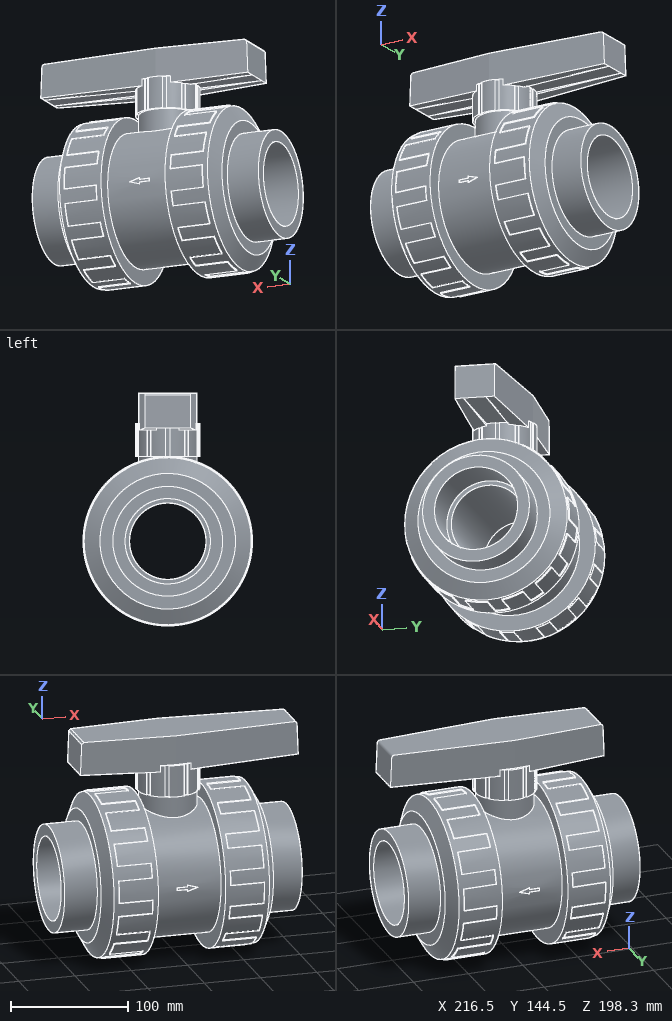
import cadquery as cq
import math


overall_length = 216.5
overall_height = 198.3

pipe_half_length = 105.7
pipe_radius = 46.8
socket_radius = 36.4
socket_depth = 45.5
bore_radius = 32.5
body_radius = 58.5

nut_outer_x = 76.6
nut_inner_x = 29.9
nut_diameter = 144.5
nut_radius = nut_diameter / 2
nut_rim_width = 4.8
nut_floor_radius = 71.2
cone_length = 7.5
cone_small_radius = 57.8
lug_end_x = 64.5
lug_count = 14
lug_angle = 15.6
first_lug_angle = 5.2

collar_radius = 25.1
hub_radius = 27.5
hub_bottom_z = 72.0
hub_top_z = 100.2
groove_count = 10
groove_width = 3.5
groove_depth = 0.9

handle_left_x = -83.4
handle_right_x = overall_length - pipe_half_length
handle_top_z = overall_height - nut_radius
handle_end_bottom_z = 96.5
handle_middle_bottom_z = 94.2
handle_middle_half_width = 25.0
handle_left_half_width = 19.3
handle_right_half_width = 17.3
end_strip_height = 2.0
underside_channel_width = 19.5
end_draft = 1.0
left_chamfer = 1.7
right_round = 2.5

arrow_half_length = 9.0
arrow_shaft_half_width = 1.2
arrow_head_half_width = 2.8
arrow_height = 0.5


def cylinder_x(radius, start, end):
    """Solid cylinder along X between two X positions."""
    return cq.Workplane("YZ", origin=(start, 0, 0)).circle(radius).extrude(end - start)


def cylinder_z(radius, start, end):
    """Solid cylinder along Z between two Z positions."""
    return cq.Workplane("XY", origin=(0, 0, start)).circle(radius).extrude(end - start)


def lug_gap_wedge(center_angle):
    """Wedge from the flow axis covering one gap; its angle is measured from -Y towards +Z."""
    half_gap = math.radians(180 / lug_count - lug_angle / 2)
    wedge_length = nut_diameter
    wedge = (
        cq.Workplane("YZ", origin=(-lug_end_x, 0, 0))
        .polyline([
            (0, 0),
            (-wedge_length, -wedge_length * math.tan(half_gap)),
            (-wedge_length, wedge_length * math.tan(half_gap)),
        ])
        .close()
        .extrude(lug_end_x - nut_inner_x - nut_rim_width)
    )
    return wedge.rotate((0, 0, 0), (1, 0, 0), -center_angle)


def left_nut():
    """Union nut with an outer cone, a plain inner rim and gripping lugs."""
    core = (
        cq.Workplane("XY")
        .moveTo(-nut_outer_x, 0)
        .lineTo(-nut_outer_x, cone_small_radius)
        .lineTo(-nut_outer_x + cone_length, nut_floor_radius)
        .lineTo(-nut_inner_x, nut_floor_radius)
        .lineTo(-nut_inner_x, 0)
        .close()
        .revolve(360, (0, 0, 0), (1, 0, 0))
    )
    grip = cylinder_x(nut_radius, -lug_end_x, -nut_inner_x)
    lug_pitch = 360 / lug_count
    for index in range(lug_count):
        grip = grip.cut(lug_gap_wedge(first_lug_angle + (index + 0.5) * lug_pitch))
    return core.union(grip)


def stem():
    """Collar rising from the body and the grooved hub above it."""
    hub = cylinder_z(hub_radius, hub_bottom_z, hub_top_z)
    groove = (
        cq.Workplane("XY", origin=(hub_radius, 0, hub_bottom_z))
        .rect(2 * groove_depth, groove_width)
        .extrude(hub_top_z - hub_bottom_z)
    )
    for index in range(groove_count):
        hub = hub.cut(groove.rotate((0, 0, 0), (0, 0, 1), index * 360 / groove_count))
    return hub.union(cylinder_z(collar_radius, 0, hub_bottom_z))


def handle():
    """Bar widest and deepest over the stem, tapering to both ends, with a flat channel underneath."""
    strip_top_z = handle_end_bottom_z + end_strip_height
    bar = (
        cq.Workplane("XZ", origin=(0, handle_middle_half_width, 0))
        .moveTo(handle_left_x, handle_end_bottom_z)
        .lineTo(handle_left_x, strip_top_z)
        .lineTo(handle_left_x + end_draft, handle_top_z)
        .lineTo(handle_right_x - end_draft, handle_top_z)
        .lineTo(handle_right_x, strip_top_z)
        .lineTo(handle_right_x, handle_end_bottom_z)
        .lineTo(0, handle_middle_bottom_z)
        .close()
        .extrude(2 * handle_middle_half_width)
    )
    bar = bar.faces(">Z").edges("<X").chamfer(left_chamfer)
    bar = bar.faces(">Z").edges(">X").fillet(right_round)
    plan = (
        cq.Workplane("XY", origin=(0, 0, handle_middle_bottom_z))
        .moveTo(handle_left_x, -handle_left_half_width)
        .lineTo(0, -handle_middle_half_width)
        .lineTo(handle_right_x, -handle_right_half_width)
        .lineTo(handle_right_x, handle_right_half_width)
        .lineTo(0, handle_middle_half_width)
        .lineTo(handle_left_x, handle_left_half_width)
        .close()
        .extrude(handle_top_z - handle_middle_bottom_z)
    )
    channel = (
        cq.Workplane("XY", origin=((handle_left_x + handle_right_x) / 2, 0, handle_middle_bottom_z))
        .rect(handle_right_x - handle_left_x, underside_channel_width)
        .extrude(handle_end_bottom_z - handle_middle_bottom_z)
    )
    return bar.intersect(plan).cut(channel)


def flow_arrows():
    """Raised arrows pointing to +X on the -Y and +Y sides of the body."""
    outline = (
        cq.Workplane("XZ")
        .moveTo(-arrow_half_length, -arrow_shaft_half_width)
        .lineTo(0, -arrow_shaft_half_width)
        .lineTo(0, -arrow_head_half_width)
        .lineTo(arrow_half_length, 0)
        .lineTo(0, arrow_head_half_width)
        .lineTo(0, arrow_shaft_half_width)
        .lineTo(-arrow_half_length, arrow_shaft_half_width)
        .close()
        .extrude(body_radius + arrow_height, both=True)
    )
    return outline.intersect(
        cylinder_x(body_radius + arrow_height, -arrow_half_length, arrow_half_length)
    )


result = cylinder_x(pipe_radius, -pipe_half_length, pipe_half_length)
body_half_length = nut_outer_x - cone_length
result = result.union(cylinder_x(body_radius, -body_half_length, body_half_length))
nut = left_nut()
result = result.union(nut).union(nut.rotate((0, 0, 0), (0, 0, 1), 180))
result = result.union(stem()).union(handle()).union(flow_arrows())

socket_floor_x = pipe_half_length - socket_depth
result = result.cut(cylinder_x(bore_radius, -pipe_half_length, pipe_half_length))
result = result.cut(cylinder_x(socket_radius, -pipe_half_length, -socket_floor_x))
result = result.cut(cylinder_x(socket_radius, socket_floor_x, pipe_half_length))